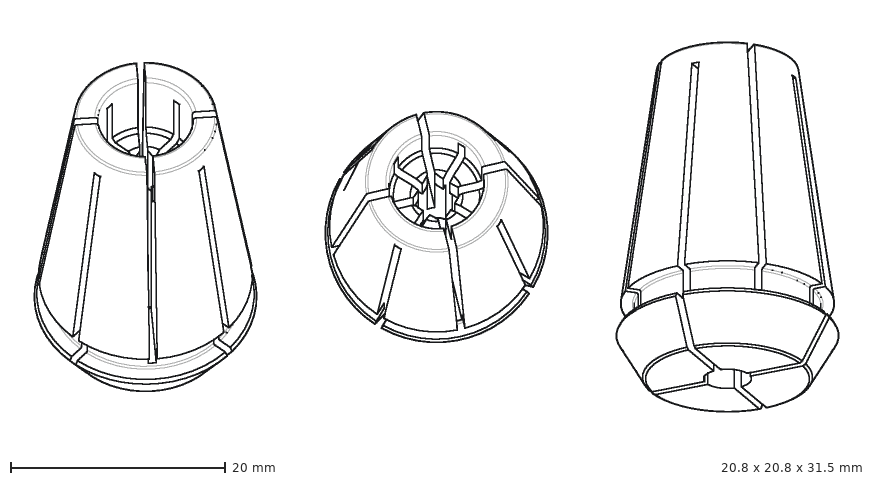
import cadquery as cq
import math

total_height = 31.5

flange_height = 4.82
flange_radius = 10.4
flange_half_angle = math.radians(30.0)
flange_rim_chamfer = 0.47
flange_base_chamfer = 0.2
rim_height = flange_height - flange_rim_chamfer * math.cos(flange_half_angle)
flange_crown_radius = flange_radius - flange_rim_chamfer * math.sin(flange_half_angle)
flange_base_radius = flange_radius - rim_height * math.tan(flange_half_angle)

groove_radius = 8.73
groove_round = 0.2

body_base_height = 7.65
body_base_radius = 10.0
body_half_angle = math.radians(8.0)
body_top_radius = body_base_radius - (total_height - body_base_height) * math.tan(body_half_angle)
body_top_round = 0.22

shank_bore_radius = 2.25
shank_bore_depth = 18.02
square_side = 3.55
square_length = 6.0
square_top = shank_bore_depth + square_length
countersink_radius = 2.45
relief_radius = 4.45
relief_floor_chamfer = 0.4
relief_mouth_round = 0.3

slot_width = 0.72
slot_end_wall = 2.0
top_slot_floor = 5.45
slot_span = 25.2


def outer_body():
    """Revolved flange, groove and taper, with broken circular edges."""
    profile = (
        cq.Workplane("XZ")
        .lineTo(flange_base_radius, 0)
        .lineTo(flange_radius, rim_height)
        .lineTo(flange_crown_radius, flange_height)
        .lineTo(groove_radius + groove_round, flange_height)
        .radiusArc((groove_radius, flange_height + groove_round), groove_round)
        .lineTo(groove_radius, body_base_height - groove_round)
        .radiusArc((groove_radius + groove_round, body_base_height), groove_round)
        .lineTo(body_base_radius, body_base_height)
        .lineTo(body_top_radius, total_height)
        .lineTo(0, total_height)
        .close()
    )
    body = profile.revolve(360, (0, 0, 0), (0, 1, 0))
    body = body.faces(">Z").edges().fillet(body_top_round)
    return body.faces("<Z").edges().chamfer(flange_base_chamfer)


def shank_bore():
    return cq.Workplane("XY").circle(shank_bore_radius).extrude(shank_bore_depth)


def square_drive():
    """Square socket with a 45 degree conical lead-in at its upper end."""
    square = (
        cq.Workplane("XY", origin=(0, 0, shank_bore_depth))
        .rect(square_side, square_side)
        .extrude(square_length)
    )
    lead_in = cq.Workplane(
        cq.Solid.makeCone(0, countersink_radius, countersink_radius)
    ).translate((0, 0, square_top - countersink_radius))
    return square.union(lead_in)


def relief_bore():
    """Wide bore with a chamfered floor and a rounded mouth."""
    mouth_radius = relief_radius + relief_mouth_round
    profile = (
        cq.Workplane("XZ")
        .moveTo(0, square_top)
        .lineTo(relief_radius - relief_floor_chamfer, square_top)
        .lineTo(relief_radius, square_top + relief_floor_chamfer)
        .lineTo(relief_radius, total_height - relief_mouth_round)
        .radiusArc((mouth_radius, total_height), relief_mouth_round)
        .lineTo(0, total_height)
        .close()
    )
    return profile.revolve(360, (0, 0, 0), (0, 1, 0))


def crossed_slots(bottom, top, start_angle):
    """Two full-width slots at right angles, spanning the given heights."""
    slots = cq.Workplane("XY")
    for angle in (start_angle, start_angle + 90):
        slot = (
            cq.Workplane("XY", origin=(0, 0, bottom))
            .rect(slot_span, slot_width)
            .extrude(top - bottom)
            .rotate((0, 0, 0), (0, 0, 1), angle)
        )
        slots = slots.union(slot)
    return slots


result = (
    outer_body()
    .cut(shank_bore())
    .cut(square_drive())
    .cut(relief_bore())
    .cut(crossed_slots(0, total_height - slot_end_wall, 0))
    .cut(crossed_slots(top_slot_floor, total_height, 45))
)